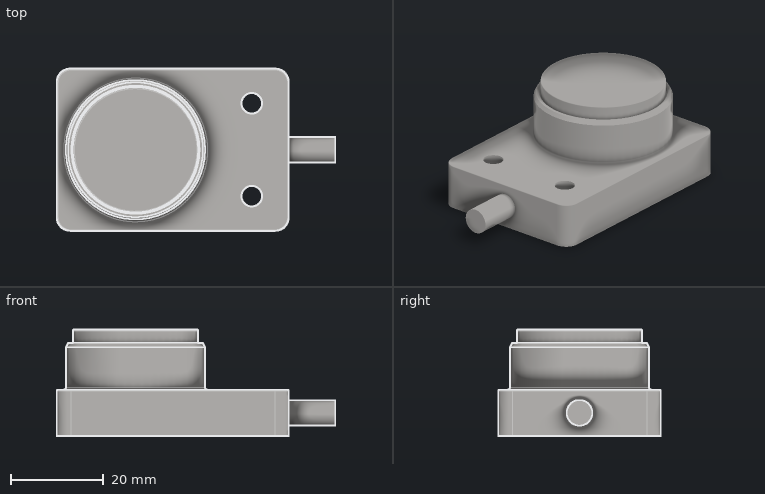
import cadquery as cq

overall_length = 60.0
plate_length = 50.0
plate_width = 35.0
plate_height = 10.0
corner_radius = 3.0
plate_edge_round = 0.3

head_diameter = 30.0
head_top = 20.05
head_center_x = 17.0
head_foot_flare = 0.5
head_chamfer_width = 0.5
head_chamfer_height = 0.9
button_diameter = 27.0
button_top = 23.0
button_edge_round = 0.3
gap_width = 0.3
gap_depth = 1.0

hole_diameter = 4.4
hole_spacing = 20.0
hole_center_x = 42.0
cable_diameter = 5.5


def make_plate():
    """Rounded rectangular plate with its left side at X = 0, centred on Y."""
    plate = cq.Workplane("XY").box(
        plate_length, plate_width, plate_height, centered=(False, True, False)
    )
    return plate.edges("|Z").fillet(corner_radius).faces(">Z").edges().fillet(plate_edge_round)


def make_head():
    """Stepped round head, with a narrow ring gap around the button."""
    head_radius = head_diameter / 2
    button_radius = button_diameter / 2
    profile = (
        cq.Workplane("XZ")
        .lineTo(head_radius + head_foot_flare, 0)
        .lineTo(head_radius + head_foot_flare, plate_height)
        .radiusArc((head_radius, plate_height + head_foot_flare), head_foot_flare)
        .lineTo(head_radius, head_top - head_chamfer_height)
        .lineTo(head_radius - head_chamfer_width, head_top)
        .lineTo(button_radius + gap_width, head_top)
        .lineTo(button_radius + gap_width, head_top - gap_depth)
        .lineTo(button_radius, head_top - gap_depth)
        .lineTo(button_radius, button_top - button_edge_round)
        .radiusArc((button_radius - button_edge_round, button_top), -button_edge_round)
        .lineTo(0, button_top)
        .close()
    )
    return profile.revolve(360, (0, 0, 0), (0, 1, 0)).translate((head_center_x, 0, 0))


def make_cable():
    """Cable leaving the right side of the plate at mid-height."""
    return (
        cq.Workplane("YZ", origin=(plate_length, 0, plate_height / 2))
        .circle(cable_diameter / 2)
        .extrude(overall_length - plate_length)
    )


def make_holes():
    """Pair of through holes beside the head."""
    return (
        cq.Workplane("XY")
        .pushPoints([(hole_center_x, side * hole_spacing / 2) for side in (-1, 1)])
        .circle(hole_diameter / 2)
        .extrude(plate_height)
    )


result = make_plate().union(make_head()).union(make_cable()).cut(make_holes())